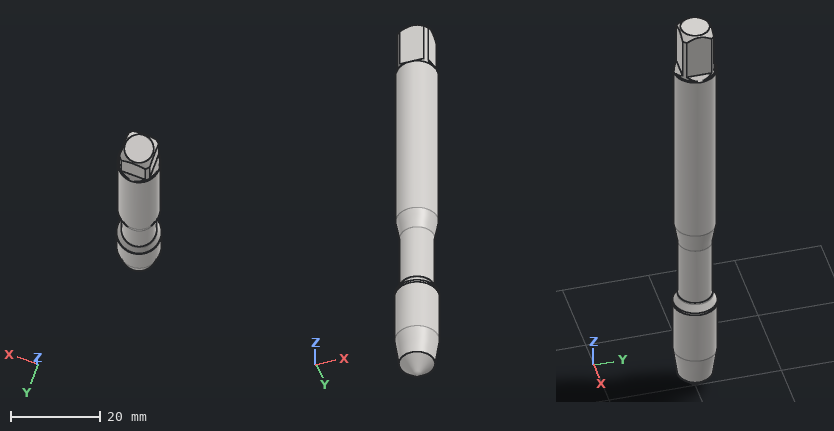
import cadquery as cq

total_length = 104.3
thread_taper_start = 11.2
head_end = 24.4
head_shoulder = 25.0
shoulder_top = 26.8
neck_bottom = 27.1
neck_top = 42.2
shank_bottom = 47.4
shank_top = 91.9

tip_radius = 4.1
head_radius = 10.1 / 2
neck_radius = 7.9 / 2
shoulder_top_radius = 4.1
shank_radius = 9.7 / 2
corner_radius = 9.3 / 2

square_width = 7.3
square_bottom = 93.0
square_chamfer = 1.4


def revolve(profile):
    """Turn a closed (radius, height) outline about the Z axis."""
    return cq.Workplane("XZ").polyline(profile).close().revolve(360, (0, 0), (0, 1))


def make_head():
    """Cutting head: 45 degree point, tapered lead and full-diameter cylinder."""
    return revolve([
        (0, 0),
        (tip_radius, tip_radius),
        (head_radius, thread_taper_start),
        (head_radius, head_end),
        (0, head_end),
    ])


def turned_shank():
    """Shoulder, neck, flared shank and the chamfered round blank of the drive."""
    corner_bottom = shank_top + shank_radius - corner_radius
    return revolve([
        (0, head_end),
        (head_radius, head_end),
        (head_radius, head_shoulder),
        (shoulder_top_radius, shoulder_top),
        (neck_radius, neck_bottom),
        (neck_radius, neck_top),
        (shank_radius, shank_bottom),
        (shank_radius, shank_top),
        (corner_radius, corner_bottom),
        (corner_radius, total_length - square_chamfer),
        (corner_radius - square_chamfer, total_length),
        (0, total_length),
    ])


def flat_cutter():
    """Removes one flat of the square, with a 45 degree run-out at its foot."""
    half_square = square_width / 2
    reach = 2 * shank_radius
    return (
        cq.Workplane("XZ")
        .polyline([
            (half_square, total_length),
            (half_square, square_bottom),
            (reach, square_bottom - (reach - half_square)),
            (reach, total_length),
        ])
        .close()
        .extrude(shank_radius, both=True)
    )


def make_shank():
    """Shank with four equal flats cut around its driving end."""
    shank = turned_shank()
    flats = 4
    for i in range(flats):
        shank = shank.cut(flat_cutter().rotate((0, 0, 0), (0, 0, 1), i * 360 / flats))
    return shank


head = make_head()
shank = make_shank()
result = cq.Compound.makeCompound([head.val(), shank.val()])